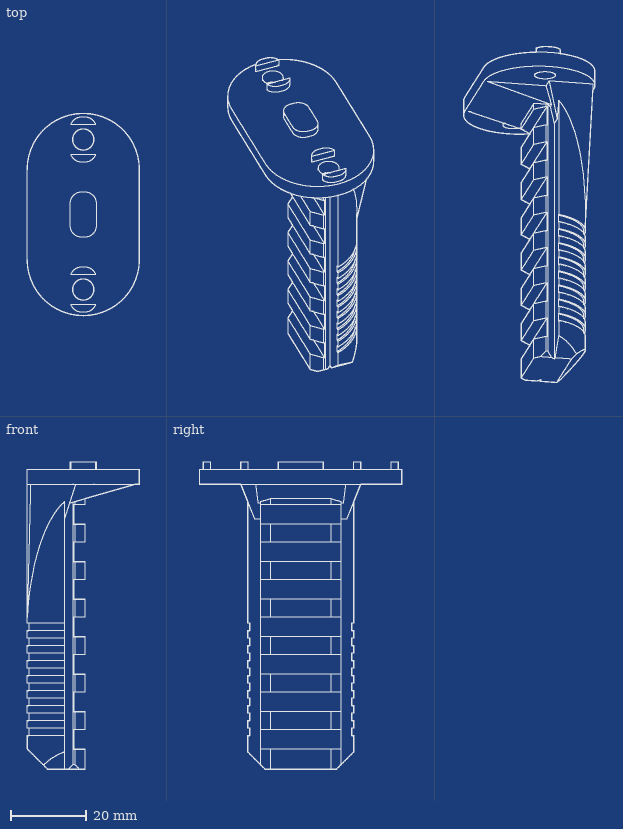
import cadquery as cq

flange_radius = 15.0
flange_disc_offset = 12.0
flange_top = 80.0
flange_thickness = 4.0
flange_bottom = flange_top - flange_thickness

screw_hole_diameter = 5.6
screw_hole_offset = 20.0
pad_width = 7.0
pad_length = 12.0
pad_corner_radius = 3.0
pad_height = 2.0
pad_gap_at_hole = 8.0

post_radius = flange_radius
post_flat_x = -5.0
tip_half_width = 9.5
tip_height = post_radius - tip_half_width

groove_count = 8
groove_height = 2.0
groove_pitch = 2 * groove_height
groove_depth = 0.5
first_groove_z = 9.0

rail_face_x = -2.5
rail_half_width = 10.75
rail_edge_half_thickness = 0.25
flare_depth = rail_face_x - rail_edge_half_thickness - post_flat_x
tooth_tip_x = 0.5
tooth_taper = tooth_tip_x - rail_face_x - rail_edge_half_thickness
tooth_count = 8
tooth_pitch = 10.0
tooth_clearance = 0.2
tooth_height = tooth_pitch / 2 - tooth_clearance
first_tooth_z = 0.6

side_gusset_height = 40.0
side_gusset_half_width = 16.0
side_gusset_back_x = -14.0
side_gusset_front_x = -2.0

front_gusset_half_length = 14.0
front_gusset_height = 8.0
front_gusset_top_half_width = 12.0
front_gusset_low_half_width = 11.0


def polyhedron(corners, faces):
    """Solid bounded by flat faces, each given as a list of corner names."""
    sides = []
    for names in faces:
        points = [cq.Vector(*corners[name]) for name in names]
        sides.append(cq.Face.makeFromWires(cq.Wire.makePolygon(points, close=True)))
    return cq.Workplane(obj=cq.Solid.makeSolid(cq.Shell.makeShell(sides)))


def make_flange():
    return (
        cq.Workplane(origin=(0, 0, flange_bottom))
        .slot2D(2 * (flange_disc_offset + flange_radius), 2 * flange_radius, 90)
        .extrude(flange_thickness)
    )


def make_pad(y):
    return (
        cq.Workplane(origin=(0, y, flange_top))
        .rect(pad_width, pad_length)
        .extrude(pad_height)
        .edges("|Z")
        .fillet(pad_corner_radius)
    )


def make_hole_pads(y):
    """The two end segments of a pad, left standing either side of a screw hole."""
    gap = (
        cq.Workplane(origin=(0, y, flange_top))
        .rect(2 * pad_width, pad_gap_at_hole)
        .extrude(pad_height)
    )
    return make_pad(y).cut(gap)


def make_post():
    post = cq.Workplane().circle(post_radius).extrude(flange_bottom)
    kept_side = cq.Workplane().box(
        post_radius + post_flat_x, 2 * post_radius, flange_bottom, centered=(False, True, False)
    )
    return post.intersect(kept_side.translate((-post_radius, 0, 0)))


def cut_grip_grooves(body):
    """Body with the ring grooves cut through both the post and the gusset's point."""
    for index in range(groove_count):
        groove = (
            cq.Workplane(origin=(0, 0, first_groove_z + index * groove_pitch))
            .circle(post_radius)
            .circle(post_radius - groove_depth)
            .extrude(groove_height)
        )
        body = body.cut(groove)
    return body


def make_rail():
    flare_base = rail_half_width - flare_depth
    flare_end_x = post_flat_x + flare_depth
    outline = [
        (post_flat_x, flare_base),
        (flare_end_x, rail_half_width),
        (rail_face_x, rail_half_width),
        (rail_face_x, -rail_half_width),
        (flare_end_x, -rail_half_width),
        (post_flat_x, -flare_base),
    ]
    return cq.Workplane().polyline(outline).close().extrude(flange_bottom)


def make_tooth(bottom, top):
    tip_half_width_y = rail_half_width - tooth_taper
    taper_start_x = tooth_tip_x - tooth_taper
    outline = [
        (rail_face_x, rail_half_width),
        (taper_start_x, rail_half_width),
        (tooth_tip_x, tip_half_width_y),
        (tooth_tip_x, -tip_half_width_y),
        (taper_start_x, -rail_half_width),
        (rail_face_x, -rail_half_width),
    ]
    return cq.Workplane(origin=(0, 0, bottom)).polyline(outline).close().extrude(top - bottom)


def make_toothed_rail():
    """Rail with its teeth; the lowest tooth runs down to the end of the post."""
    rail = make_rail()
    for index in range(tooth_count):
        bottom = first_tooth_z + index * tooth_pitch
        top = bottom + tooth_height
        rail = rail.union(make_tooth(bottom if index else 0, top))
    return rail


def make_tip_envelope():
    """Square block with a 45 degree pyramid at the bottom, used to trim the post's tip."""
    tip = (
        cq.Workplane()
        .rect(2 * tip_half_width, 2 * tip_half_width)
        .workplane(offset=tip_height)
        .rect(2 * post_radius, 2 * post_radius)
        .loft(ruled=True)
    )
    block = (
        cq.Workplane(origin=(0, 0, tip_height))
        .rect(2 * post_radius, 2 * post_radius)
        .extrude(flange_bottom - tip_height)
    )
    return tip.union(block)


def make_side_gusset():
    half_width = side_gusset_half_width
    corners = {
        "spine": (-post_radius, 0, flange_bottom),
        "back_left": (side_gusset_back_x, half_width, flange_bottom),
        "front_left": (side_gusset_front_x, half_width, flange_bottom),
        "front_right": (side_gusset_front_x, -half_width, flange_bottom),
        "back_right": (side_gusset_back_x, -half_width, flange_bottom),
        "point": (-post_radius, 0, flange_bottom - side_gusset_height),
    }
    rim = ["spine", "back_left", "front_left", "front_right", "back_right"]
    faces = [rim]
    for start, end in zip(rim, rim[1:] + rim[:1]):
        faces.append([start, end, "point"])
    return polyhedron(corners, faces)


def make_front_gusset():
    length = front_gusset_half_length
    top = front_gusset_top_half_width
    low = front_gusset_low_half_width
    low_z = flange_bottom - front_gusset_height
    corners = {
        "back_left": (-length, top, flange_bottom),
        "front_left": (length, top, flange_bottom),
        "front_right": (length, -top, flange_bottom),
        "back_right": (-length, -top, flange_bottom),
        "low_left": (-length, low, low_z),
        "low_right": (-length, -low, low_z),
    }
    faces = [
        ["back_left", "front_left", "front_right", "back_right"],
        ["back_left", "back_right", "low_right", "low_left"],
        ["front_left", "front_right", "low_right", "low_left"],
        ["back_left", "front_left", "low_left"],
        ["back_right", "front_right", "low_right"],
    ]
    return polyhedron(corners, faces)


def make_screw_holes():
    """Bores through the flange only."""
    return (
        cq.Workplane(origin=(0, 0, flange_bottom))
        .pushPoints([(0, screw_hole_offset), (0, -screw_hole_offset)])
        .circle(screw_hole_diameter / 2)
        .extrude(flange_thickness)
    )


stem = make_post().union(make_toothed_rail()).intersect(make_tip_envelope())
stem = cut_grip_grooves(stem.union(make_side_gusset()))
head = make_flange().cut(make_screw_holes()).union(make_pad(0))
for hole_y in (screw_hole_offset, -screw_hole_offset):
    head = head.union(make_hole_pads(hole_y))

result = head.union(stem).union(make_front_gusset())